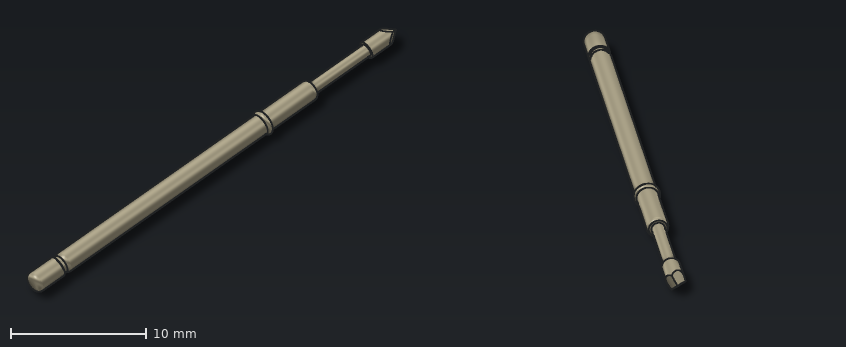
import cadquery as cq
import math

TOTAL_LENGTH = 35.7

BARREL_RADIUS = 0.83
END_ROUND = 0.42
TAIL_LENGTH = 2.5
GROOVE_RADIUS = 0.7
GROOVE_FLOOR_LENGTH = 0.38
PLUNGER_PROJECTION = 8.3
BARREL_FRONT = TOTAL_LENGTH - PLUNGER_PROJECTION

RING_RADIUS = 1.0
RING_SECTION_RADIUS = 0.25
TIP_TO_RING = 13.05
RING_POSITION = TOTAL_LENGTH - TIP_TO_RING

PLUNGER_RADIUS = 0.5
HEAD_RADIUS = 0.7
HEAD_LENGTH = 2.9

FACET_COUNT = 3
FACET_ANGLE = 30.0


def rod(radius, start, end):
    """Cylinder on the Y axis from start to end."""
    return cq.Workplane("XZ", origin=(0, start, 0)).circle(radius).extrude(start - end)


def make_tail():
    tail = rod(BARREL_RADIUS, 0, TAIL_LENGTH)
    return tail.faces("<Y").edges().fillet(END_ROUND)


def rolled_radius_at(distance):
    """Radius of the rolled barrel end, a distance beyond the start of its arc."""
    return BARREL_RADIUS - END_ROUND + math.sqrt(END_ROUND**2 - distance**2)


def make_barrel():
    """Barrel with both ends rolled in to GROOVE_RADIUS, groove floor and press ring."""
    rear = TAIL_LENGTH + GROOVE_FLOOR_LENGTH
    arc_centre_radius = BARREL_RADIUS - END_ROUND
    crimp_length = math.sqrt(END_ROUND**2 - (GROOVE_RADIUS - arc_centre_radius) ** 2)
    middle_distance = crimp_length / 2
    middle_radius = rolled_radius_at(middle_distance)
    rear_tangent = rear + crimp_length
    front_tangent = BARREL_FRONT - crimp_length
    profile = (
        cq.Workplane("XY")
        .moveTo(0, TAIL_LENGTH)
        .lineTo(GROOVE_RADIUS, TAIL_LENGTH)
        .lineTo(GROOVE_RADIUS, rear)
        .threePointArc((middle_radius, rear_tangent - middle_distance), (BARREL_RADIUS, rear_tangent))
        .lineTo(BARREL_RADIUS, front_tangent)
        .threePointArc((middle_radius, front_tangent + middle_distance), (GROOVE_RADIUS, BARREL_FRONT))
        .lineTo(0, BARREL_FRONT)
        .close()
    )
    return profile.revolve(360, (0, 0), (0, 1)).union(make_ring())


def make_ring():
    """Round bead standing on the barrel, centred on RING_POSITION."""
    centre_radius = RING_RADIUS - RING_SECTION_RADIUS
    rear = RING_POSITION - RING_SECTION_RADIUS
    front = RING_POSITION + RING_SECTION_RADIUS
    section = (
        cq.Workplane("XY")
        .moveTo(0, rear)
        .lineTo(centre_radius, rear)
        .threePointArc((RING_RADIUS, RING_POSITION), (centre_radius, front))
        .lineTo(0, front)
        .close()
    )
    return section.revolve(360, (0, 0), (0, 1))


def make_plunger():
    head_start = TOTAL_LENGTH - HEAD_LENGTH
    shaft = rod(PLUNGER_RADIUS, BARREL_FRONT, head_start)
    head = rod(HEAD_RADIUS, head_start, TOTAL_LENGTH)
    return shaft.union(head.intersect(make_tip_pyramid()))


def make_tip_pyramid():
    """Pyramid as long as the head, apex on the axis, one facet facing +X."""
    inradius = HEAD_LENGTH * math.tan(math.radians(FACET_ANGLE))
    circumradius = inradius / math.cos(math.pi / FACET_COUNT)
    corner_angles = [(2 * i + 1) * math.pi / FACET_COUNT for i in range(FACET_COUNT)]
    corners = [(circumradius * math.cos(a), circumradius * math.sin(a)) for a in corner_angles]
    base = cq.Workplane("XZ", origin=(0, TOTAL_LENGTH - HEAD_LENGTH, 0)).polyline(corners).close()
    apex = cq.Vector(0, TOTAL_LENGTH, 0)
    base_wire = base.wire().val()
    rim = base_wire.Vertices()
    faces = [cq.Face.makeFromWires(base_wire)]
    for i in range(FACET_COUNT):
        points = [rim[i].Center(), rim[(i + 1) % FACET_COUNT].Center(), apex]
        faces.append(cq.Face.makeFromWires(cq.Wire.makePolygon(points, close=True)))
    return cq.Workplane(cq.Solid.makeSolid(cq.Shell.makeShell(faces)))


result = make_tail().union(make_barrel()).union(make_plunger())